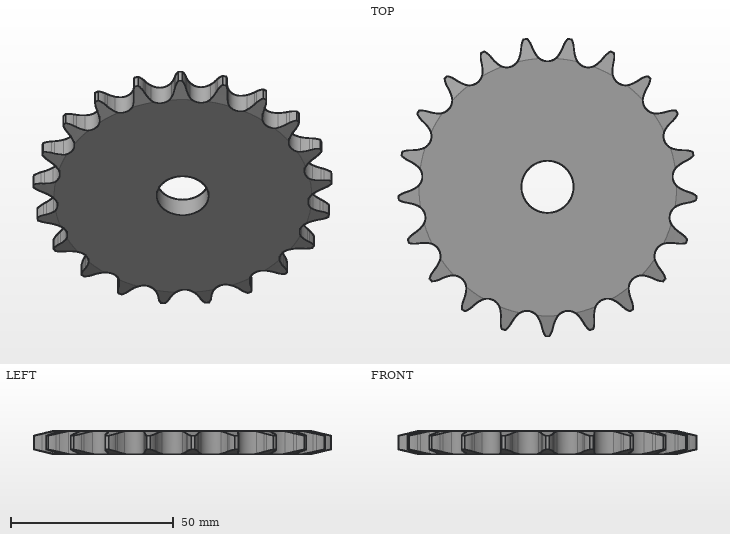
import cadquery as cq
import math

TOOTH_COUNT = 21
TIP_RADIUS = 45.9
THICKNESS = 7.2
PITCH_RADIUS = 42.6
ROLLER_DIAMETER = 7.9
SEAT_CLEARANCE = 0.076
BORE_DIAMETER = 16.0
FLAT_RADIUS = 39.6
TIP_THICKNESS = 4.2

TOOTH_ANGLE = 2 * math.pi / TOOTH_COUNT
HALF_TOOTH = TOOTH_ANGLE / 2

SEAT_RADIUS = (1.005 * ROLLER_DIAMETER + SEAT_CLEARANCE) / 2
WORKING_OFFSET = 0.8 * ROLLER_DIAMETER
TOPPING_OFFSET = 1.4 * ROLLER_DIAMETER
SEAT_END_ANGLE = math.radians(35 + 60 / TOOTH_COUNT)
WORKING_ANGLE = math.radians(18 - 56 / TOOTH_COUNT)


def polar(radius, angle, origin=(0.0, 0.0)):
    """Point at a radius and an angle in radians from an origin."""
    return origin[0] + radius * math.cos(angle), origin[1] + radius * math.sin(angle)


def rotate(point, angle):
    """Turn a point about the sprocket axis."""
    return polar(math.hypot(*point), math.atan2(point[1], point[0]) + angle)


def mirror(point):
    """Reflect a point across the centre line of the gap."""
    return -point[0], point[1]


def left_flank():
    """Points on the left side of the gap, from the end of the seat out to the tip.

    They run: seat end, working arc middle, working arc end, topping arc start,
    topping arc middle, topping arc end.
    """
    roller_center = (0.0, PITCH_RADIUS)

    working_center = polar(WORKING_OFFSET, SEAT_END_ANGLE, roller_center)
    working_radius = WORKING_OFFSET + SEAT_RADIUS
    straight_angle = SEAT_END_ANGLE - WORKING_ANGLE
    middle_angle = SEAT_END_ANGLE - WORKING_ANGLE / 2
    seat_end = polar(-working_radius, SEAT_END_ANGLE, working_center)
    working_middle = polar(-working_radius, middle_angle, working_center)
    working_end = polar(-working_radius, straight_angle, working_center)

    topping_center = polar(-TOPPING_OFFSET, HALF_TOOTH, roller_center)
    topping_radius = (
        WORKING_OFFSET * math.cos(WORKING_ANGLE)
        + TOPPING_OFFSET * math.cos(straight_angle - HALF_TOOTH)
        - working_radius
    )

    center_distance = math.hypot(*topping_center)
    center_angle = math.atan2(topping_center[1], topping_center[0])
    angle_from_center = math.acos(
        (TIP_RADIUS**2 + center_distance**2 - topping_radius**2) / (2 * TIP_RADIUS * center_distance)
    )
    topping_end = polar(TIP_RADIUS, center_angle - angle_from_center)
    topping_end_angle = math.atan2(topping_end[1] - topping_center[1], topping_end[0] - topping_center[0])

    topping_start = polar(topping_radius, straight_angle, topping_center)
    topping_middle = polar(topping_radius, (straight_angle + topping_end_angle) / 2, topping_center)
    return [seat_end, working_middle, working_end, topping_start, topping_middle, topping_end]


def toothed_blank():
    """Toothed plate, drawn gap by gap counterclockwise from the gap on +Y."""
    left = left_flank()
    right = [mirror(point) for point in reversed(left)]
    seat_bottom = (0.0, PITCH_RADIUS - SEAT_RADIUS)
    tip = polar(TIP_RADIUS, math.pi / 2 + HALF_TOOTH)

    outline = cq.Workplane("XY").moveTo(*right[0])
    for gap in range(TOOTH_COUNT):
        turn = gap * TOOTH_ANGLE
        right_side = [rotate(point, turn) for point in right]
        left_side = [rotate(point, turn) for point in left]
        next_start = rotate(right[0], turn + TOOTH_ANGLE)
        outline = (
            outline.threePointArc(right_side[1], right_side[2])
            .lineTo(*right_side[3])
            .threePointArc(right_side[4], right_side[5])
            .threePointArc(rotate(seat_bottom, turn), left_side[0])
            .threePointArc(left_side[1], left_side[2])
            .lineTo(*left_side[3])
            .threePointArc(left_side[4], left_side[5])
            .threePointArc(rotate(tip, turn), next_start)
        )
    return outline.close().extrude(THICKNESS / 2, both=True)


def bevelled_envelope():
    """Disc with both faces bevelled down to the tip thickness, and the bore through it."""
    half_profile = [
        (BORE_DIAMETER / 2, THICKNESS / 2),
        (FLAT_RADIUS, THICKNESS / 2),
        (TIP_RADIUS, TIP_THICKNESS / 2),
    ]
    lower_profile = [(radius, -height) for radius, height in reversed(half_profile)]
    profile = cq.Workplane("XZ").polyline(half_profile + lower_profile).close()
    return profile.revolve(360, (0, 0, 0), (0, 1, 0))


result = toothed_blank().intersect(bevelled_envelope())